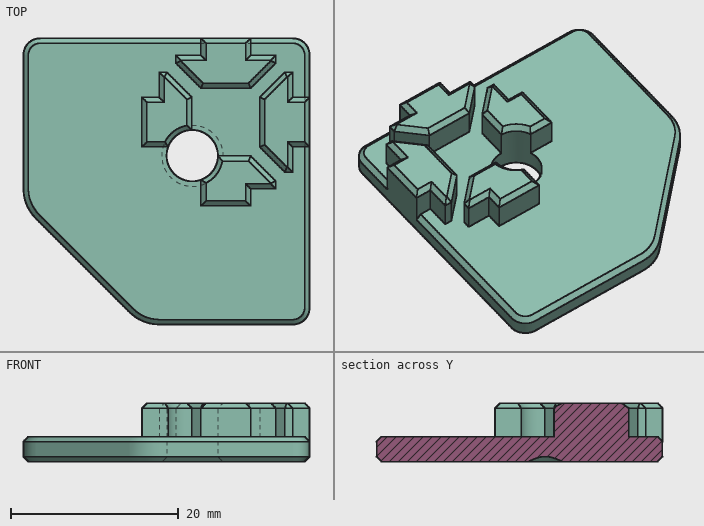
import cadquery as cq
import math

profile_size = 20.0
plate_thickness = 3.0
key_height = 4.0
edge_chamfer = 0.6

corner_radius = 2.0
diagonal_radius = 5.0

slot_half_opening = 3.0
slot_half_width = 6.0
slot_lip = 2.0
slot_depth = 6.0
slot_clearance = 0.04

hole_diameter = 6.1
hole_offset = 4.0

profile_half = profile_size / 2
diagonal_leg = profile_size * math.sin(math.radians(45))
near_side = profile_half - profile_size - diagonal_leg
cut_end = near_side + diagonal_leg

neck_half_width = slot_half_opening - slot_clearance
head_half_width = slot_half_width - slot_clearance
shoulder_distance = profile_half - slot_lip - slot_clearance
inner_distance = profile_half - slot_depth + slot_clearance
taper_start = inner_distance + head_half_width - neck_half_width


def make_plate():
    """Square plate with its -X, -Y corner cut off, chamfered above and below."""
    outline = [
        (cut_end, near_side),
        (profile_half, near_side),
        (profile_half, profile_half),
        (near_side, profile_half),
        (near_side, cut_end),
    ]
    plate = cq.Workplane("XY").polyline(outline).close().extrude(plate_thickness)
    square_corners = [outline[1], outline[2], outline[3]]
    diagonal_corners = [outline[0], outline[4]]
    plate = round_corners(plate, square_corners, corner_radius)
    plate = round_corners(plate, diagonal_corners, diagonal_radius)
    return plate.faces("<Z or >Z").edges().chamfer(edge_chamfer)


def round_corners(plate, corners, radius):
    """Fillet the vertical plate edges that stand on the given corners."""
    for x, y in corners:
        nearest = cq.selectors.NearestToPointSelector((x, y, plate_thickness / 2))
        plate = plate.edges("|Z").edges(nearest).fillet(radius)
    return plate


def make_hole_cutter():
    """Cylinder through the whole part, flared to chamfer the plate underside and the key tops."""
    total_height = plate_thickness + key_height
    hole_radius = hole_diameter / 2
    flare_radius = hole_radius + edge_chamfer
    half_section = [
        (0, 0),
        (flare_radius, 0),
        (hole_radius, edge_chamfer),
        (hole_radius, total_height - edge_chamfer),
        (flare_radius, total_height),
        (0, total_height),
    ]
    cutter = cq.Workplane("XZ").polyline(half_section).close().revolve(360, (0, 0), (0, 1))
    return cutter.translate((-hole_offset, -hole_offset, 0))


def winged_side():
    """Right-hand edge of a key from its inner end to the rim, with the wide head."""
    return [
        (neck_half_width, inner_distance),
        (head_half_width, taper_start),
        (head_half_width, shoulder_distance),
        (neck_half_width, shoulder_distance),
        (neck_half_width, profile_half),
    ]


def straight_side():
    """Right-hand edge of a key whose head stays as narrow as its neck."""
    return [(neck_half_width, inner_distance), (neck_half_width, profile_half)]


def make_key(right_side, left_side, angle):
    """Key pointing to +Y, chamfered on top and turned by angle about Z.

    left_side is given as a right-hand edge and mirrored. The foot reaches below the plate chamfer.
    """
    mirrored_left = [(-x, y) for x, y in reversed(left_side)]
    key = (
        cq.Workplane("XY")
        .workplane(offset=plate_thickness - edge_chamfer)
        .polyline(right_side + mirrored_left)
        .close()
        .extrude(edge_chamfer + key_height)
    )
    return key.faces(">Z").edges().chamfer(edge_chamfer).rotate((0, 0, 0), (0, 0, 1), angle)


keys = [
    make_key(winged_side(), winged_side(), 0),
    make_key(winged_side(), straight_side(), 90),
    make_key(straight_side(), winged_side(), 180),
    make_key(winged_side(), winged_side(), 270),
]
result = make_plate()
for key in keys:
    result = result.union(key)
result = result.cut(make_hole_cutter())